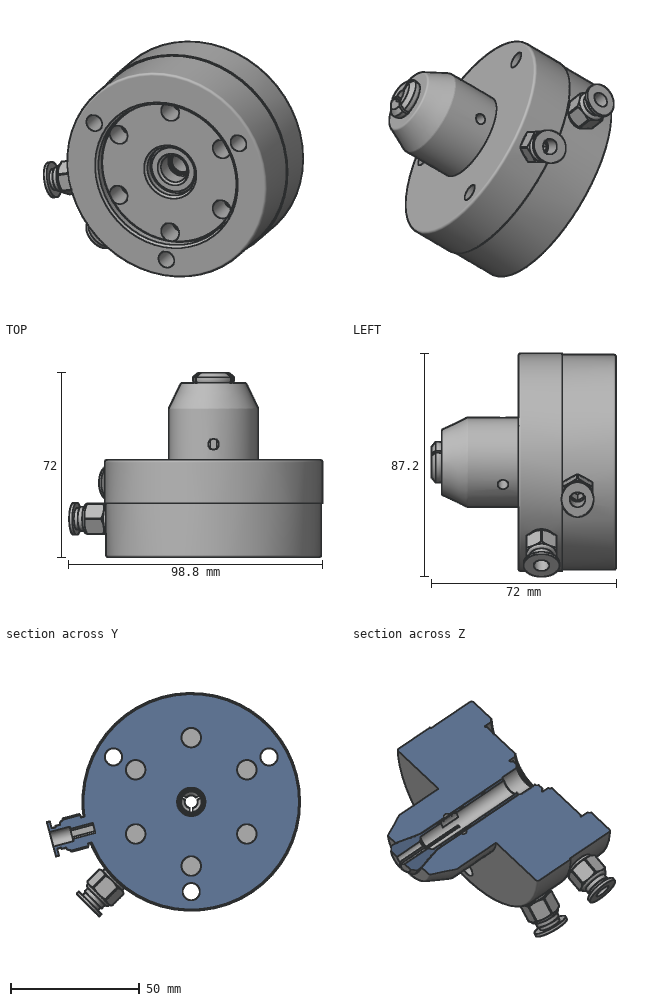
import cadquery as cq
import math


drum_diameter = 84.0
drum_length = 21.1
flange_diameter = 85.0
flange_length = 17.0
edge_radius = 1.0

nose_diameter = 35.0
nose_tip_diameter = 25.4
nose_straight_length = 20.0
nose_cone_length = 10.0
nose_base_blend = 1.0
nose_tip_blend = 1.0
flange_rear = drum_length + flange_length
nose_shoulder = flange_rear + nose_straight_length
nose_face = nose_shoulder + nose_cone_length

plate_diameter = 58.0
plate_depth = 4.0
plate_edge_radius = 0.5

hub_diameter = 20.0
hub_depth = 3.0
hub_bore_diameter = 11.0
hub_bore_step = 0.5
hub_face = plate_depth + hub_depth

mount_hole_diameter = 6.6
mount_circle_radius = 35.0
mount_hole_angles = (30, 150, 270)
plate_hole_diameter = 7.5
plate_hole_depth = 11.9
plate_circle_radius = 25.0
plate_hole_count = 6
plate_hole_start_angle = 30
screw_hole_diameter = 4.2
screw_hole_offset = 6.0
screw_hole_angles = (90, 210, 330)

collet_end = 72.0
collet_head_diameter = 16.1
collet_tip_diameter = 12.0
collet_chamfer_length = 1.7
collet_head_length = 3.1
collet_taper_angle = 15.0
collet_shank_diameter = hub_bore_diameter - 2 * hub_bore_step
collet_tail = 15.8
collet_tail_chamfer = 0.5
collet_bore_diameter = 8.0
collet_clamp_diameter = 4.9
collet_clamp_length = 11.9
collet_bore_taper_length = 1.5
collet_slit_width = 1.0
collet_slit_length = 29.7
collet_slit_angles = (30, 150, 270)
collet_key_width = 2.4
collet_key_depth = 1.0
collet_key_length = 7.9

fitting_root_depth = 4.0
washer_diameter = 10.8
hex_across_flats = 12.0
hex_corner_diameter = 13.5
hex_start = 1.0
hex_end = 8.5
hex_chamfer_angle = 30.0
ring_diameter = 12.0
collar_diameter = 9.5
collar_end = 11.6
neck_diameter = 8.5
button_start = 13.1
button_end = 14.4
button_length = 14.0
button_width = 12.6
tube_hole_diameter = 6.0
tube_hole_depth = 8.1
key_socket_across_flats = 4.4
key_socket_depth = 9.1
drum_fitting_y = 15.0
drum_fitting_angle = 195
flange_fitting_y = 29.1
flange_fitting_angle = 225


def cylinder(diameter, start, end):
    """Cylinder about the Y axis from y = start to y = end."""
    return cq.Workplane("XZ", origin=(0, start, 0)).circle(diameter / 2).extrude(start - end)


def revolved(points):
    """Solid turned about the Y axis from (radius, y) points."""
    return cq.Workplane("XY").polyline(points).close().revolve(360, (0, 0, 0), (0, 1, 0))


def turned_about_axis(shape, angle):
    """Turn a shape about the Y axis so that its +X side points at the angle, counted from +X to +Z."""
    return shape.rotate((0, 0, 0), (0, 1, 0), -angle)


def collet_taper_ends():
    """The y of the collet taper's wide end, and of its narrow end where it meets the shank."""
    taper_wide_end = collet_end - collet_head_length
    drop = (collet_head_diameter - collet_shank_diameter) / 2
    taper_narrow_end = taper_wide_end - drop / math.tan(math.radians(collet_taper_angle))
    return taper_wide_end, taper_narrow_end


def make_shell():
    """Drum, flange and nose, turned as one piece, with their edges rounded."""
    drum = cylinder(drum_diameter, 0, drum_length).faces("<Y").edges().fillet(edge_radius)
    flange = cylinder(flange_diameter, drum_length, flange_rear).faces(">Y").edges().fillet(edge_radius)
    nose = revolved([
        (0, flange_rear),
        (nose_diameter / 2, flange_rear),
        (nose_diameter / 2, nose_shoulder),
        (nose_tip_diameter / 2, nose_face),
        (0, nose_face),
    ])
    nose = nose.faces(">Y").edges().fillet(nose_tip_blend)
    shoulder = cq.selectors.BoxSelector(
        (-nose_diameter, nose_shoulder - nose_base_blend, -nose_diameter),
        (nose_diameter, nose_shoulder + nose_base_blend, nose_diameter),
    )
    nose = nose.edges(shoulder).edges("%CIRCLE").fillet(nose_base_blend)
    return drum.union(flange).union(nose)


def recess_cutter(diameter, start, end, floor_radius):
    """Round recess with a flared mouth, whose floor is the rounded end of the disc that fills it."""
    radius = diameter / 2
    return (
        cq.Workplane("XY")
        .moveTo(0, start)
        .lineTo(radius + edge_radius, start)
        .radiusArc((radius, start + edge_radius), -edge_radius)
        .lineTo(radius, end + floor_radius)
        .radiusArc((radius - floor_radius, end), -floor_radius)
        .lineTo(0, end)
        .close()
        .revolve(360, (0, 0, 0), (0, 1, 0))
    )


def hub_bore_cutter():
    """Bore through the hub and nose, with a flared mouth, a step at the collet's tail and a tapered seat."""
    radius = hub_bore_diameter / 2
    taper_wide_end, taper_narrow_end = collet_taper_ends()
    taper_slope = math.tan(math.radians(collet_taper_angle))
    mouth_radius = collet_head_diameter / 2 - (taper_wide_end - nose_face) * taper_slope
    return (
        cq.Workplane("XY")
        .moveTo(0, hub_face)
        .lineTo(radius + edge_radius, hub_face)
        .radiusArc((radius, hub_face + edge_radius), -edge_radius)
        .lineTo(radius, collet_tail - hub_bore_step)
        .lineTo(collet_shank_diameter / 2, collet_tail)
        .lineTo(collet_shank_diameter / 2, taper_narrow_end)
        .lineTo(mouth_radius, nose_face)
        .lineTo(0, nose_face)
        .close()
        .revolve(360, (0, 0, 0), (0, 1, 0))
    )


def hole_pattern(diameter, circle_radius, angles, start, end):
    """Holes along Y, spread around the axis on one circle."""
    hole = cylinder(diameter, start, end).translate((circle_radius, 0, 0))
    pattern = cq.Workplane("XY")
    for angle in angles:
        pattern = pattern.add(turned_about_axis(hole, angle))
    return pattern.combine()


def screw_hole_cutter(angle):
    """Radial hole from the side of the nose to its bore."""
    hole = cq.Workplane("YZ", origin=(0, flange_rear + screw_hole_offset, 0))
    hole = hole.circle(screw_hole_diameter / 2).extrude(nose_diameter / 2)
    return turned_about_axis(hole, angle)


def fitting_disc(diameter, start, end):
    """Cylinder along the fitting's own +Z axis."""
    return cq.Workplane("XY", origin=(0, 0, start)).circle(diameter / 2).extrude(end - start)


def make_fitting_hex():
    """Hexagon with corners turned down and both ends chamfered."""
    across_corners = hex_across_flats / math.cos(math.pi / 6)
    prism = cq.Workplane("XY", origin=(0, 0, hex_start))
    prism = prism.polygon(6, across_corners).extrude(hex_end - hex_start)
    chamfer_width = (hex_corner_diameter - hex_across_flats) / 2
    chamfer_height = chamfer_width * math.tan(math.radians(hex_chamfer_angle))
    blank = fitting_disc(hex_corner_diameter, hex_start, hex_end)
    blank = blank.edges("%CIRCLE").chamfer(chamfer_height, chamfer_width)
    return prism.intersect(blank)


def make_fitting(button_turn):
    """Fitting along +Z, with z = 0 at the surface it stands on and its oval button turned about Z."""
    ring_height = (ring_diameter - collar_diameter) / 2
    ring = (
        cq.Workplane("XZ")
        .moveTo(0, hex_end)
        .lineTo(ring_diameter / 2, hex_end)
        .radiusArc((collar_diameter / 2, hex_end + ring_height), -ring_height)
        .lineTo(0, hex_end + ring_height)
        .close()
        .revolve(360, (0, 0, 0), (0, 1, 0))
    )
    button = cq.Workplane("XY", origin=(0, 0, button_start))
    button = button.transformed((0, 0, button_turn)).ellipse(button_length / 2, button_width / 2)
    button = button.extrude(button_end - button_start)
    return (
        fitting_disc(washer_diameter, -fitting_root_depth, hex_start)
        .union(make_fitting_hex())
        .union(ring)
        .union(fitting_disc(collar_diameter, hex_end, collar_end))
        .union(fitting_disc(neck_diameter, collar_end, button_start))
        .union(button)
    )


def fitting_hole_cutter():
    """Round tube hole with a hexagon socket in its floor."""
    shelf = button_end - tube_hole_depth
    socket_corners = key_socket_across_flats / math.cos(math.pi / 6)
    socket = cq.Workplane("XY", origin=(0, 0, shelf)).polygon(6, socket_corners).extrude(-key_socket_depth)
    return fitting_disc(tube_hole_diameter, shelf, button_end).union(socket)


def placed_fitting(shape, surface_diameter, y, angle):
    """Stand a fitting shape on a round surface of the housing, at the given y and angle."""
    shape = shape.rotate((0, 0, 0), (0, 1, 0), 90)
    return turned_about_axis(shape.translate((surface_diameter / 2, y, 0)), angle)


def make_housing():
    """Housing with both fittings, all recesses and all holes."""
    plate_angles = [plate_hole_start_angle + 360 / plate_hole_count * i for i in range(plate_hole_count)]
    housing = make_shell()
    fittings = (
        (make_fitting(button_turn=0), drum_diameter, drum_fitting_y, drum_fitting_angle),
        (make_fitting(button_turn=90), flange_diameter, flange_fitting_y, flange_fitting_angle),
    )
    for fitting, *place in fittings:
        housing = housing.union(placed_fitting(fitting, *place))
        housing = housing.cut(placed_fitting(fitting_hole_cutter(), *place))
    housing = housing.cut(recess_cutter(plate_diameter, 0, plate_depth, plate_edge_radius))
    housing = housing.cut(recess_cutter(hub_diameter, plate_depth, hub_face, edge_radius))
    housing = housing.cut(hub_bore_cutter())
    mount_holes = hole_pattern(mount_hole_diameter, mount_circle_radius, mount_hole_angles, 0, flange_rear)
    plate_hole_end = plate_depth + plate_hole_depth
    plate_holes = hole_pattern(
        plate_hole_diameter, plate_circle_radius, plate_angles, plate_depth, plate_hole_end
    )
    housing = housing.cut(mount_holes).cut(plate_holes)
    for angle in screw_hole_angles:
        housing = housing.cut(screw_hole_cutter(angle))
    return housing


def make_collet():
    """Collet with a tapered head, a stepped bore, three slits and three keyways."""
    taper_wide_end, taper_narrow_end = collet_taper_ends()
    collet = revolved([
        (0, collet_tail),
        (collet_shank_diameter / 2, collet_tail),
        (collet_shank_diameter / 2, taper_narrow_end),
        (collet_head_diameter / 2, taper_wide_end),
        (collet_head_diameter / 2, collet_end - collet_chamfer_length),
        (collet_tip_diameter / 2, collet_end),
        (0, collet_end),
    ])
    collet = collet.faces("<Y").edges().chamfer(collet_tail_chamfer)
    clamp_start = collet_end - collet_clamp_length
    collet = collet.cut(revolved([
        (0, collet_tail),
        (collet_bore_diameter / 2, collet_tail),
        (collet_bore_diameter / 2, clamp_start - collet_bore_taper_length),
        (collet_clamp_diameter / 2, clamp_start),
        (collet_clamp_diameter / 2, collet_end),
        (0, collet_end),
    ]))
    slit = cq.Workplane("XY").box(
        collet_head_diameter, collet_slit_length, collet_slit_width, centered=(False, False, True)
    ).translate((0, collet_end - collet_slit_length, 0))
    for angle in collet_slit_angles:
        collet = collet.cut(turned_about_axis(slit, angle))
    key = cq.Workplane("XY").box(
        collet_key_depth, collet_key_length, collet_key_width, centered=(False, True, True)
    ).translate((collet_shank_diameter / 2 - collet_key_depth, flange_rear + screw_hole_offset, 0))
    for angle in screw_hole_angles:
        collet = collet.cut(turned_about_axis(key, angle))
    return collet


housing = make_housing()
collet = make_collet()
result = cq.Compound.makeCompound([housing.solids().val(), collet.solids().val()])